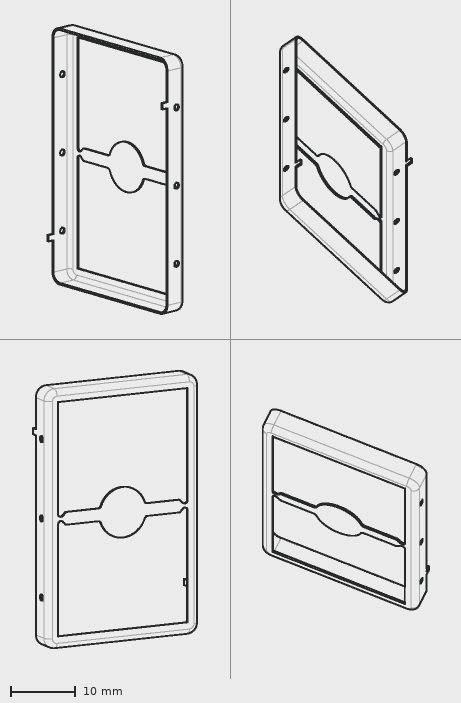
import cadquery as cq
import math

WIDTH = 26.4
HEIGHT = 41.0
DEPTH = 3.7
WALL = 0.3
CORNER_RADIUS = 1.75
BACK_EDGE_RADIUS = 1.0
FLANGE_WIDTH = 2.0

BRIDGE_HEIGHT = 2.0
NECK_HEIGHT = 0.65
NOTCH_RADIUS = 0.5
DISC_RADIUS = 3.998
DISC_BLEND_RADIUS = 0.5

HOLE_DIAMETER = 1.0
HOLE_SPACING = 12.5
HOLE_FROM_BACK = 1.8
TAB_LENGTH = 1.02
TAB_HEIGHT = 1.0
TAB_OFFSET = 13.2

OPENING_HALF_WIDTH = WIDTH / 2 - FLANGE_WIDTH
OPENING_HALF_HEIGHT = HEIGHT / 2 - FLANGE_WIDTH


def rounded_block(inset):
    """Block with rounded corners and back edge, inset from the outer skin; the rim is at Y = 0."""
    return (
        cq.Workplane("XZ")
        .rect(WIDTH - 2 * inset, HEIGHT - 2 * inset)
        .extrude(-(DEPTH - inset))
        .edges("|Y")
        .fillet(CORNER_RADIUS - inset)
        .faces(">Y")
        .edges()
        .fillet(BACK_EDGE_RADIUS - inset)
    )


def opening():
    """Rectangular window through the back flange."""
    return (
        cq.Workplane("XZ")
        .rect(2 * OPENING_HALF_WIDTH, 2 * OPENING_HALF_HEIGHT)
        .extrude(-DEPTH)
    )


def bridge_arm(side):
    """Half of the bar, from the center to the flange; side is -1 or 1."""
    half_bar = BRIDGE_HEIGHT / 2
    half_neck = NECK_HEIGHT / 2
    diagonal = NOTCH_RADIUS * math.sqrt(0.5)
    notch_x = OPENING_HALF_WIDTH - NOTCH_RADIUS
    notch_z = half_neck + NOTCH_RADIUS
    ramp_x = notch_x - diagonal
    ramp_z = notch_z - diagonal
    bar_x = ramp_x - (half_bar - ramp_z)

    upper_half = (
        cq.Workplane("XZ", origin=(0, DEPTH, 0))
        .lineTo(0, half_bar)
        .lineTo(side * bar_x, half_bar)
        .lineTo(side * ramp_x, ramp_z)
        .threePointArc((side * notch_x, half_neck), (side * OPENING_HALF_WIDTH, notch_z))
        .lineTo(side * (OPENING_HALF_WIDTH + WALL), notch_z)
        .lineTo(side * (OPENING_HALF_WIDTH + WALL), 0)
        .close()
        .extrude(WALL)
    )
    return upper_half.union(upper_half.mirror("XY"))


def bridge():
    """Thin bar with a central disc, level with the back flange."""
    disc = cq.Workplane("XZ", origin=(0, DEPTH, 0)).circle(DISC_RADIUS).extrude(WALL)
    body = disc.union(bridge_arm(-1)).union(bridge_arm(1))
    junction_box = cq.selectors.BoxSelector(
        (-DISC_RADIUS, 0, -BRIDGE_HEIGHT), (DISC_RADIUS, 2 * DEPTH, BRIDGE_HEIGHT)
    )
    return body.edges("|Y").edges(junction_box).fillet(DISC_BLEND_RADIUS)


def side_holes():
    """Three cross holes passing through both side walls."""
    hole_y = DEPTH - HOLE_FROM_BACK
    return (
        cq.Workplane("YZ", origin=(-WIDTH / 2, 0, 0))
        .pushPoints([(hole_y, step * HOLE_SPACING) for step in (-1, 0, 1)])
        .circle(HOLE_DIAMETER / 2)
        .extrude(WIDTH)
    )


def tab(side):
    """Tab extending one side wall past the rim: high on the +X wall, low on the -X wall."""
    return (
        cq.Workplane("XY")
        .box(WALL, TAB_LENGTH + WALL, TAB_HEIGHT)
        .translate((side * (WIDTH - WALL) / 2, (WALL - TAB_LENGTH) / 2, side * TAB_OFFSET))
    )


frame = rounded_block(0).cut(rounded_block(WALL)).cut(opening())
result = frame.union(bridge()).cut(side_holes())
for wall_side in (-1, 1):
    result = result.union(tab(wall_side))